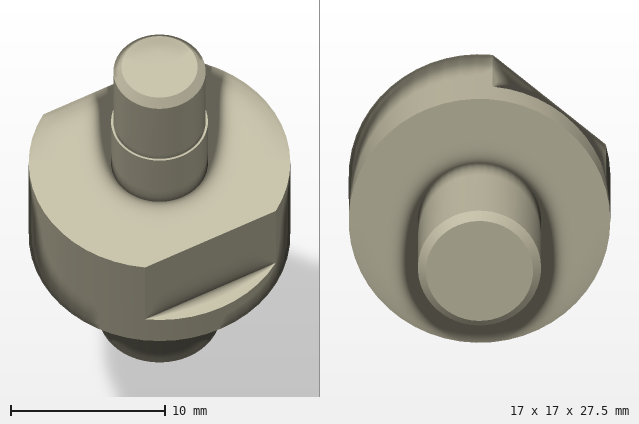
import cadquery as cq

total_height = 27.5
collar_bottom = 9.0
flat_bottom = 11.3
collar_top = 17.0
pin_step = 21.5

lower_pin_diameter = 8.0
collar_diameter = 17.0
upper_pin_diameter = 6.3
tip_diameter = 6.0

width_across_flats = 14.0
end_chamfer = 0.52


def cylinder(diameter, bottom, top):
    """Cylinder on the Z axis between two levels."""
    return cq.Workplane("XY").workplane(offset=bottom).circle(diameter / 2).extrude(top - bottom)


lower_pin = cylinder(lower_pin_diameter, 0, collar_bottom).faces("<Z").chamfer(end_chamfer)
upper_pin = cylinder(upper_pin_diameter, collar_top, pin_step)
tip = cylinder(tip_diameter, pin_step, total_height).faces(">Z").chamfer(end_chamfer)

flange = cylinder(collar_diameter, collar_bottom, flat_bottom)
flat_height = collar_top - flat_bottom
flat_envelope = (
    cq.Workplane("XY")
    .workplane(offset=flat_bottom)
    .rect(width_across_flats, collar_diameter)
    .extrude(flat_height)
)
flatted_collar = cylinder(collar_diameter, flat_bottom, collar_top).intersect(flat_envelope)

result = lower_pin.union(flange).union(flatted_collar).union(upper_pin).union(tip)